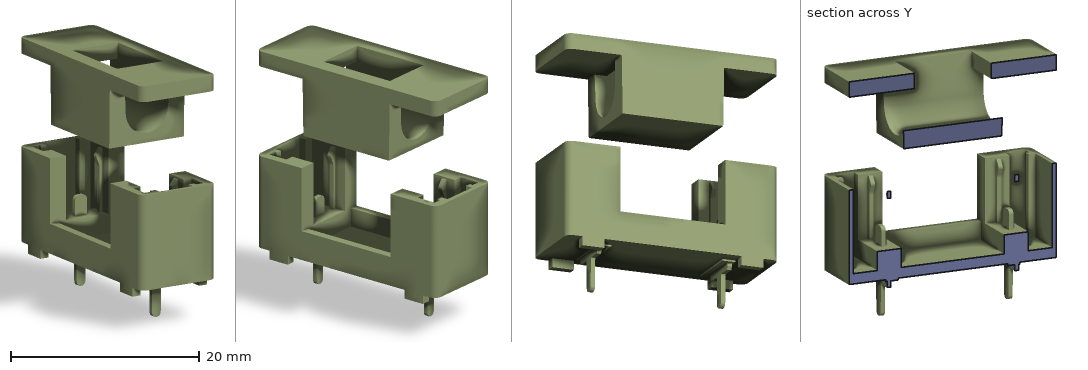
import cadquery as cq
import math

LENGTH = 24.4
WIDTH = 9.4
CORNER_RADIUS = 0.8

HOUSING_HEIGHT = 10.5
RIM_HEIGHT = 3.3
NOTCH_LENGTH = 12.04
BASIN_FLOOR = 1.2
BASIN_WIDTH = 7.5

PASSAGE_WIDTH = 5.4
LIP_BACK_X = 8.87
POCKET_END_X = 11.25
POCKET_WIDTH = 7.46
RECESS_END_X = 11.67
RIB_TIP_X = 10.85
RIB_INNER_Y = 2.1
RIB_OUTER_Y = 2.77

FOOT_X = (7.9, 10.4)
FOOT_WIDTH = 1.0
FOOT_HEIGHT = 1.0
PAD_X = (6.4, FOOT_X[0])
PAD_WIDTH = 6.1
PAD_HEIGHT = 0.2

CLIP_X = (7.25, 7.75)
PIN_LENGTH = 4.5
PIN_ROOT_WIDTH = 1.32
PIN_WIDTH = 1.2
PIN_TIP_WIDTH = 1.06
PIN_FLARE_DEPTH = 1.06
PIN_TIP_RADIUS = 0.5
SHOULDER_WIDTH = 4.8
SHOULDER_DEPTH = 0.87
SHOULDER_BOTTOM_WIDTH = 4.4
SHOULDER_SIDE_DEPTH = 0.5
TAB_WIDTH = 1.5
TAB_HEIGHT = 2.2
TAB_RADIUS = 0.5
ARM_FACE_Y = 2.3
ARM_BULGE_START = 8.45
ARM_BULGE_Y = 1.86
ARM_BULGE_HEIGHT = 9.5
ARM_PEAK_RADIUS = 0.35
ARM_FOOT_RADIUS = 0.8
ARM_TOP_Y = 2.45
ARM_TOP = 10.3

COVER_GAP = 3.75
PLATE_THICKNESS = 1.75
BLOCK_DEPTH = 6.5
BLOCK_TOP_LENGTH = 11.8
BLOCK_END_DRAFT = 1.0
WINDOW_LENGTH = 9.0
WINDOW_WIDTH = 5.8
CHANNEL_RADIUS = 2.67
CHANNEL_FLOOR = 1.05

OVERLAP = 0.1


def box_between(x_range, y_range, z_range):
    """Axis-aligned box from its three coordinate ranges."""
    (x0, x1), (y0, y1), (z0, z1) = x_range, y_range, z_range
    return cq.Workplane("XY").box(x1 - x0, y1 - y0, z1 - z0, centered=False).translate((x0, y0, z0))


def centered(width):
    return (-width / 2, width / 2)


def rounded_slab(height):
    """Slab with the shared plan outline, standing on z = 0."""
    return (
        cq.Workplane("XY")
        .box(LENGTH, WIDTH, height, centered=(True, True, False))
        .edges("|Z")
        .fillet(CORNER_RADIUS)
    )


def at_both_ends(feature):
    """The feature at the +X end together with its mirror image at the -X end."""
    return feature.union(feature.mirror("YZ"))


def end_pocket():
    """Cutter for the pocket at the +X end."""
    top = HOUSING_HEIGHT + OVERLAP
    passage = box_between((0, LIP_BACK_X), centered(PASSAGE_WIDTH), (RIM_HEIGHT, top))
    deep_range = (BASIN_FLOOR, top)
    deep_pocket = box_between((LIP_BACK_X, POCKET_END_X), centered(POCKET_WIDTH), deep_range)
    recess = box_between((LIP_BACK_X, RECESS_END_X), centered(2 * RIB_INNER_Y), deep_range)
    pocket = passage.union(deep_pocket).union(recess)
    for y_range in ((RIB_INNER_Y, RIB_OUTER_Y), (-RIB_OUTER_Y, -RIB_INNER_Y)):
        pocket = pocket.cut(box_between((RIB_TIP_X, RECESS_END_X), y_range, deep_range))
    return pocket


def foot_pair():
    """Two feet at the +X end, flush with the long sides."""
    foot = box_between(FOOT_X, (WIDTH / 2 - FOOT_WIDTH, WIDTH / 2), (-FOOT_HEIGHT, OVERLAP))
    return foot.union(foot.mirror("XZ"))


def clip_plate(profile):
    """Sheet of clip thickness with the given outline of Y and Z points."""
    thickness = CLIP_X[1] - CLIP_X[0]
    return cq.Workplane("YZ", origin=(CLIP_X[0], 0, 0)).polyline(profile).close().extrude(thickness)


def clip_pin():
    """Tapered solder pin with its wide shoulder under the pad."""
    shoulder = clip_plate([
        (-SHOULDER_WIDTH / 2, 0),
        (SHOULDER_WIDTH / 2, 0),
        (SHOULDER_WIDTH / 2, -SHOULDER_SIDE_DEPTH),
        (SHOULDER_BOTTOM_WIDTH / 2, -SHOULDER_DEPTH),
        (-SHOULDER_BOTTOM_WIDTH / 2, -SHOULDER_DEPTH),
        (-SHOULDER_WIDTH / 2, -SHOULDER_SIDE_DEPTH),
    ])
    stem = clip_plate([
        (-PIN_ROOT_WIDTH / 2, 0),
        (PIN_ROOT_WIDTH / 2, 0),
        (PIN_ROOT_WIDTH / 2, -SHOULDER_DEPTH),
        (PIN_WIDTH / 2, -PIN_FLARE_DEPTH),
        (PIN_TIP_WIDTH / 2, -PIN_LENGTH),
        (-PIN_TIP_WIDTH / 2, -PIN_LENGTH),
        (-PIN_WIDTH / 2, -PIN_FLARE_DEPTH),
        (-PIN_ROOT_WIDTH / 2, -SHOULDER_DEPTH),
    ])
    return shoulder.union(stem.edges("|X").edges("<Z").fillet(PIN_TIP_RADIUS))


def clip_tab():
    """Rounded tab standing on the clip platform."""
    tab = box_between(CLIP_X, centered(TAB_WIDTH), (RIM_HEIGHT - OVERLAP, RIM_HEIGHT + TAB_HEIGHT))
    return tab.edges("|X").edges(">Z").fillet(TAB_RADIUS)


def spring_arm():
    """Arm on the +Y lip, bulging inwards near its top to grip the fuse."""
    lip_y = PASSAGE_WIDTH / 2 + OVERLAP
    arm = clip_plate([
        (lip_y, RIM_HEIGHT - OVERLAP),
        (ARM_FACE_Y, RIM_HEIGHT - OVERLAP),
        (ARM_FACE_Y, ARM_BULGE_START),
        (ARM_BULGE_Y, ARM_BULGE_HEIGHT),
        (ARM_TOP_Y, ARM_TOP),
        (lip_y, ARM_TOP),
    ])
    arm = arm.edges("|X").edges("<Y").fillet(ARM_PEAK_RADIUS)
    bulge_foot = cq.NearestToPointSelector((sum(CLIP_X) / 2, ARM_FACE_Y, ARM_BULGE_START))
    return arm.edges("|X").edges(bulge_foot).fillet(ARM_FOOT_RADIUS)


def contact_clip():
    """Clip at the +X end, joined to the housing."""
    arm = spring_arm()
    return clip_pin().union(clip_tab()).union(arm).union(arm.mirror("XZ"))


def build_housing():
    notch = box_between(
        centered(NOTCH_LENGTH), centered(WIDTH + 2 * OVERLAP), (RIM_HEIGHT, HOUSING_HEIGHT + OVERLAP)
    )
    basin = box_between(
        centered(NOTCH_LENGTH), centered(BASIN_WIDTH), (BASIN_FLOOR, HOUSING_HEIGHT)
    )
    pad = box_between(PAD_X, centered(PAD_WIDTH), (-PAD_HEIGHT, OVERLAP))
    housing = rounded_slab(HOUSING_HEIGHT).cut(notch).cut(basin).cut(at_both_ends(end_pocket()))
    for feature in (foot_pair(), pad, contact_clip()):
        housing = housing.union(at_both_ends(feature))
    return housing


def fuse_channel(length, axis_z, top):
    """Cutter along X with a round bottom and sides flaring up to the window width."""
    return (
        cq.Workplane("YZ")
        .moveTo(-WINDOW_WIDTH / 2, top)
        .lineTo(-CHANNEL_RADIUS, axis_z)
        .threePointArc((0, axis_z - CHANNEL_RADIUS), (CHANNEL_RADIUS, axis_z))
        .lineTo(WINDOW_WIDTH / 2, top)
        .close()
        .extrude(length / 2, both=True)
    )


def build_cover():
    block_bottom = HOUSING_HEIGHT + COVER_GAP
    plate_bottom = block_bottom + BLOCK_DEPTH
    plate_top = plate_bottom + PLATE_THICKNESS
    channel_axis_z = block_bottom + CHANNEL_FLOOR + CHANNEL_RADIUS
    block_bottom_length = BLOCK_TOP_LENGTH - 2 * BLOCK_DEPTH * math.tan(math.radians(BLOCK_END_DRAFT))
    plate = rounded_slab(PLATE_THICKNESS).translate((0, 0, plate_bottom))
    block = (
        cq.Workplane("XZ")
        .moveTo(-BLOCK_TOP_LENGTH / 2, plate_bottom)
        .lineTo(-block_bottom_length / 2, block_bottom)
        .lineTo(block_bottom_length / 2, block_bottom)
        .lineTo(BLOCK_TOP_LENGTH / 2, plate_bottom)
        .close()
        .extrude(WIDTH / 2, both=True)
    )
    window = fuse_channel(WINDOW_LENGTH, channel_axis_z, plate_top)
    channel = fuse_channel(LENGTH, channel_axis_z, plate_top).intersect(
        box_between(centered(LENGTH), centered(WIDTH), (block_bottom, plate_bottom))
    )
    return plate.union(block).cut(window).cut(channel)


housing = build_housing()
cover = build_cover()
result = cq.Compound.makeCompound([housing.solids().val(), cover.solids().val()])